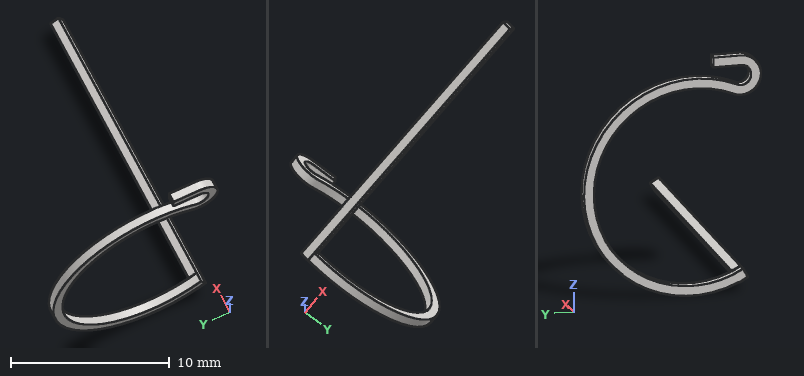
import cadquery as cq
import math

wire = 0.65
length = 20.3
ring_outer = 7.15
hook_inner = 0.65
hook_rise = 7.15
tip_length = 1.8
ring_end_angle = -120.0

ring_inner = ring_outer - wire
hook_outer = hook_inner + wire

centre_distance = ring_outer + hook_inner
hook_y = -math.sqrt(centre_distance**2 - hook_rise**2)
hook_centre = (hook_y, hook_rise)
joint_angle = math.degrees(math.atan2(hook_rise, hook_y))


def polar(centre, radius, angle):
    """Point in the YZ plane at an angle in degrees from +Y."""
    a = math.radians(angle)
    return (centre[0] + radius * math.cos(a), centre[1] + radius * math.sin(a))


def bent_strip(centre, inner, outer, start, end):
    """Curved length of wire lying in the YZ plane."""
    middle = (start + end) / 2
    return (
        cq.Workplane("YZ")
        .moveTo(*polar(centre, outer, start))
        .threePointArc(polar(centre, outer, middle), polar(centre, outer, end))
        .lineTo(*polar(centre, inner, end))
        .threePointArc(polar(centre, inner, middle), polar(centre, inner, start))
        .close()
        .extrude(wire)
    )


ring = bent_strip((0, 0), ring_inner, ring_outer, ring_end_angle, joint_angle)

hook_start = joint_angle - 180
hook_top = 90 - 360
hook = bent_strip(hook_centre, hook_inner, hook_outer, hook_start, hook_top)

tip = (
    cq.Workplane("YZ")
    .moveTo(hook_y, hook_rise + hook_inner)
    .rect(tip_length, wire, centered=False)
    .extrude(wire)
)

leg = (
    cq.Workplane("YZ")
    .moveTo(ring_inner, 0)
    .rect(wire, wire, centered=False)
    .extrude(length)
    .rotate((0, 0, 0), (1, 0, 0), ring_end_angle)
)

result = ring.union(hook).union(tip).union(leg)